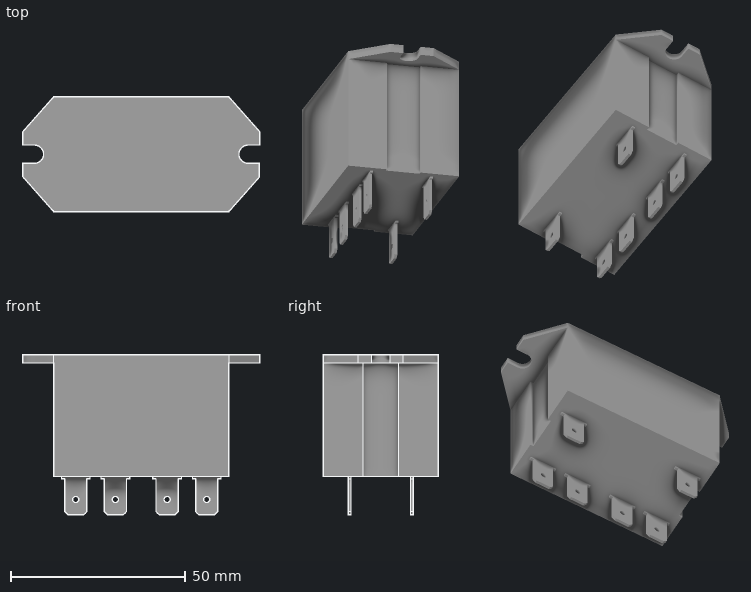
import cadquery as cq

FLANGE_LENGTH = 68.0
CASE_LENGTH = 50.2
CASE_WIDTH = 33.0
CASE_HEIGHT = 35.0
FLANGE_THICKNESS = 2.45
FLANGE_CORNER_WIDTH = 10.05
SHORT_LUG_TRIM = 0.15
SLOT_WIDTH = 5.2
SLOT_DEPTH = 6.0
END_GROOVE_WIDTH = 10.05
END_GROOVE_DEPTH = 1.0

TERMINAL_LENGTH = 10.95
TERMINAL_THICKNESS = 0.8
BLADE_WIDTH = 6.4
BLADE_CHAMFER = 0.95
SHOULDER_WIDTH = 8.3
SHOULDER_HEIGHT = 0.6
BLADE_HOLE_DIAMETER = 1.7
BLADE_HOLE_DROP = 6.5
OUTER_TERMINAL_X = 18.8
INNER_TERMINAL_X = 7.4
TERMINAL_ROW_Y = 8.9

FLANGE_BOTTOM = CASE_HEIGHT - FLANGE_THICKNESS
FLANGE_OVERHANG = (FLANGE_LENGTH - CASE_LENGTH) / 2

TERMINAL_PLACES = [
    (-OUTER_TERMINAL_X, -TERMINAL_ROW_Y),
    (OUTER_TERMINAL_X, -TERMINAL_ROW_Y),
    (-OUTER_TERMINAL_X, TERMINAL_ROW_Y),
    (-INNER_TERMINAL_X, TERMINAL_ROW_Y),
    (INNER_TERMINAL_X, TERMINAL_ROW_Y),
    (OUTER_TERMINAL_X, TERMINAL_ROW_Y),
]


def make_case():
    """Rectangular case with a shallow full-height groove in each end."""
    case = cq.Workplane("XY").box(CASE_LENGTH, CASE_WIDTH, CASE_HEIGHT, centered=(True, True, False))
    grooves = (
        cq.Workplane("XY")
        .pushPoints([(-CASE_LENGTH / 2, 0), (CASE_LENGTH / 2, 0)])
        .rect(2 * END_GROOVE_DEPTH, END_GROOVE_WIDTH)
        .extrude(FLANGE_BOTTOM)
    )
    return case.cut(grooves)


def make_flange():
    """Plate with four cut corners and a round-ended open slot in each end."""
    half_length = FLANGE_LENGTH / 2
    half_width = CASE_WIDTH / 2
    half_case = half_length - FLANGE_OVERHANG
    half_end = half_width - FLANGE_CORNER_WIDTH
    outline = [
        (-half_case, -half_width),
        (half_case, -half_width),
        (half_length, -half_end),
        (half_length, half_end),
        (half_case, half_width),
        (-half_case, half_width),
        (-half_length, half_end),
        (-half_length, -half_end),
    ]
    flange_plane = cq.Workplane("XY", origin=(0, 0, FLANGE_BOTTOM))
    plate = flange_plane.polyline(outline).close().extrude(FLANGE_THICKNESS)
    slots = (
        flange_plane
        .pushPoints([(-half_length, 0), (half_length, 0)])
        .slot2D(2 * SLOT_DEPTH, SLOT_WIDTH)
        .extrude(FLANGE_THICKNESS)
    )
    lug_trim = (
        flange_plane
        .moveTo(half_length - SHORT_LUG_TRIM, -half_width)
        .rect(SHORT_LUG_TRIM, half_width, centered=False)
        .extrude(FLANGE_THICKNESS)
    )
    return plate.cut(slots).cut(lug_trim)


def make_housing():
    """Case and flange as one solid, their tops level."""
    return make_case().union(make_flange())


def make_terminal(x, y):
    """Flat blade with shoulders at its root, a chamfered tip and a cross hole."""
    blade = (
        cq.Workplane("XY")
        .box(BLADE_WIDTH, TERMINAL_THICKNESS, TERMINAL_LENGTH, centered=(True, True, False))
        .translate((0, 0, -TERMINAL_LENGTH))
        .edges("|Y and <Z")
        .chamfer(BLADE_CHAMFER)
    )
    shoulders = (
        cq.Workplane("XY")
        .box(SHOULDER_WIDTH, TERMINAL_THICKNESS, SHOULDER_HEIGHT, centered=(True, True, False))
        .translate((0, 0, -SHOULDER_HEIGHT))
    )
    hole = (
        cq.Workplane("XZ")
        .center(0, -BLADE_HOLE_DROP)
        .circle(BLADE_HOLE_DIAMETER / 2)
        .extrude(TERMINAL_THICKNESS, both=True)
    )
    return blade.union(shoulders).cut(hole).translate((x, y, 0))


housing = make_housing()
terminals = [make_terminal(x, y) for x, y in TERMINAL_PLACES]

result = cq.Compound.makeCompound([housing.val(), *[terminal.val() for terminal in terminals]])